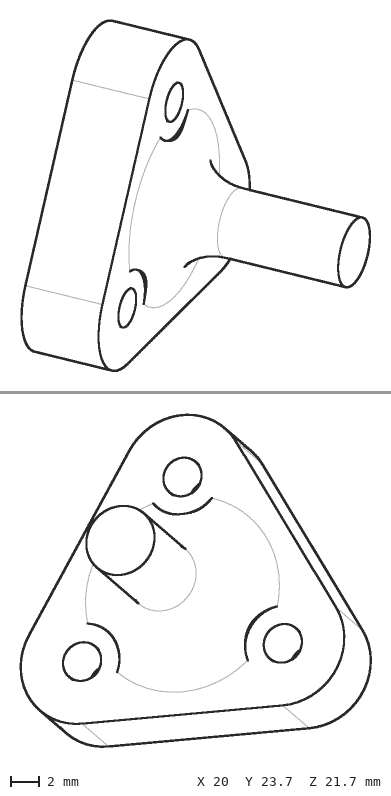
import cadquery as cq
import math

overall_length = 20.0
plate_thickness = 6.0
hole_spacing = 14.7
corner_radius = 4.5
hole_diameter = 2.8
head_clearance_diameter = 5.5
shaft_diameter = 5.0
root_fillet_radius = 4.6

shaft_radius = shaft_diameter / 2
hole_circle_radius = hole_spacing / math.sqrt(3)
hole_angles = [90, 210, 330]
hole_centers = [
    (
        hole_circle_radius * math.cos(math.radians(angle)),
        hole_circle_radius * math.sin(math.radians(angle)),
    )
    for angle in hole_angles
]


def make_plate():
    """Triangular plate with corners rounded about the hole centers."""
    triangle = cq.Workplane("YZ").polyline(hole_centers).close()
    return triangle.offset2D(corner_radius).extrude(plate_thickness)


def make_shaft():
    """Round shaft flaring into the plate through a quarter-circle fillet."""
    flare_end = plate_thickness + root_fillet_radius
    flare_radius = shaft_radius + root_fillet_radius
    arc_offset = root_fillet_radius * math.sqrt(0.5)
    arc_middle = (flare_end - arc_offset, flare_radius - arc_offset)
    return (
        cq.Workplane("XY")
        .lineTo(0, flare_radius)
        .lineTo(plate_thickness, flare_radius)
        .threePointArc(arc_middle, (flare_end, shaft_radius))
        .lineTo(overall_length, shaft_radius)
        .lineTo(overall_length, 0)
        .close()
        .revolve(360, (0, 0, 0), (1, 0, 0))
    )


def make_hole_cylinders(diameter, start, length):
    """Cylinders along X, one on each hole axis."""
    plane = cq.Workplane("YZ", origin=(start, 0, 0))
    return plane.pushPoints(hole_centers).circle(diameter / 2).extrude(length)


through_holes = make_hole_cylinders(hole_diameter, 0, plate_thickness)

head_clearances = make_hole_cylinders(
    head_clearance_diameter, plate_thickness, root_fillet_radius
)

result = make_plate().union(make_shaft()).cut(through_holes).cut(head_clearances)